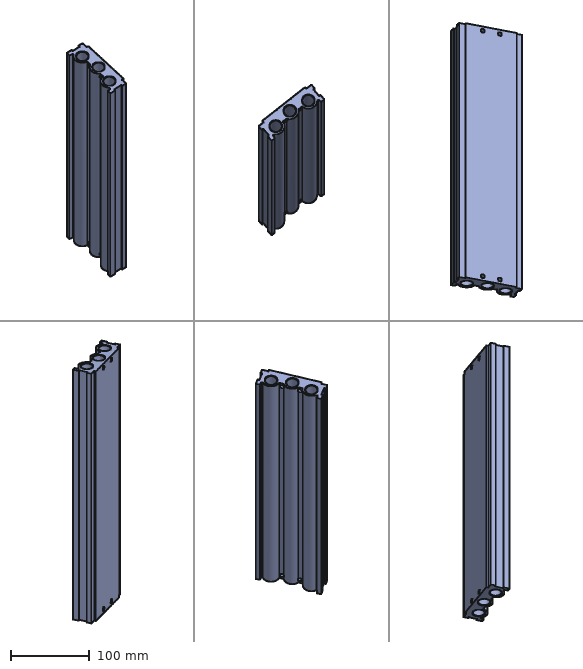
import cadquery as cq

width = 87.0
depth = 28.5
length = 358.5

half_width = width / 2
back = depth / 2
front = -depth / 2

pad_half_width = 35.0
pad_height = 2.5
shoulder = back - pad_height

slot_depth = 2.0
slot_back_outer = back - 9.5
slot_back_inner = back - 8.5
slot_front = back - 20.5

foot_width = 5.5
foot_draft = 0.7
foot_root = back - 23.5

web_front = back - 17.5

tube_radius = 11.0
bore_radius = 7.5
bore_chamfer = 0.7
side_tube_x = 27.0
side_tube_y = back - 16.5
middle_tube_y = back - 12.2
tube_centers = [(-side_tube_x, side_tube_y), (0, middle_tube_y), (side_tube_x, side_tube_y)]

mount_hole_diameter = 5.5
mount_hole_x = 12.0
mount_hole_inset = 6.0


def make_body():
    """Extrude the outline of pad, slotted sides, feet and web."""
    right_half = [
        (pad_half_width, back),
        (pad_half_width, shoulder),
        (half_width, shoulder),
        (half_width, slot_back_outer),
        (half_width - slot_depth, slot_back_inner),
        (half_width - slot_depth, slot_front),
        (half_width, slot_front),
        (half_width, front),
        (half_width - foot_width, front),
        (half_width - foot_width - foot_draft, foot_root),
        (side_tube_x, foot_root),
        (side_tube_x, web_front),
    ]
    left_half = [(-x, y) for x, y in reversed(right_half)]
    return cq.Workplane("XY").polyline(right_half + left_half).close().extrude(length)


def make_tubes():
    """Solid rods that form the outside of the three tubes."""
    return cq.Workplane("XY").pushPoints(tube_centers).circle(tube_radius).extrude(length)


def make_bore(center):
    """Through bore with a chamfered mouth at both ends."""
    mouth_radius = bore_radius + bore_chamfer
    half_section = [
        (0, 0),
        (mouth_radius, 0),
        (bore_radius, bore_chamfer),
        (bore_radius, length - bore_chamfer),
        (mouth_radius, length),
        (0, length),
    ]
    bore = cq.Workplane("XZ").polyline(half_section).close().revolve(360, (0, 0), (0, 1))
    return bore.translate((*center, 0))


def make_mount_holes():
    """Four drills running front to back through the web."""
    spacing_z = length - 2 * mount_hole_inset
    return (
        cq.Workplane("XZ", origin=(0, 0, length / 2))
        .rect(2 * mount_hole_x, spacing_z, forConstruction=True)
        .vertices()
        .circle(mount_hole_diameter / 2)
        .extrude(depth / 2, both=True)
    )


result = make_body().union(make_tubes())
for tube_center in tube_centers:
    result = result.cut(make_bore(tube_center))
result = result.cut(make_mount_holes())